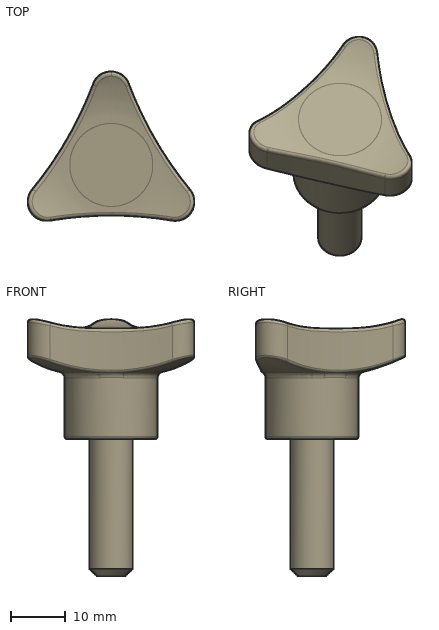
import cadquery as cq
import math


lobe_count = 3
first_lobe_angle = math.pi / 2
half_pitch = math.pi / lobe_count
lobe_center_radius = 13.5
lobe_radius = 3.5
side_gap = 9.28
tip_radius = lobe_center_radius + lobe_radius

disc_radius = 7.56
disc_height = 20.15
dish_radius = 23.0
underside_radius = 38.5
underside_low_point = 11.05
top_edge_fillet = 0.6
bottom_edge_fillet = 0.5

hub_diameter = 17.0
hub_edge_fillet = 0.5
hub_root_fillet = 1.0
hub_top_height = (underside_low_point + disc_height) / 2

stud_diameter = 8.0
stud_length = 25.0
stud_chamfer_height = 1.4
stud_chamfer_width = 1.5


def polar(radius, angle):
    return (radius * math.cos(angle), radius * math.sin(angle))


def arc_rise(arc_radius, run):
    """Height of an arc above its lowest point, at a horizontal distance from that point."""
    return arc_radius - math.sqrt(arc_radius**2 - run**2)


def dish_point(radius):
    """Point of the dished top at a distance from the axis, outside the flat disc."""
    return (radius, disc_height + arc_rise(dish_radius, radius - disc_radius))


def underside_point(radius):
    """Point of the spherical underside at a distance from the axis."""
    return (radius, underside_low_point + arc_rise(underside_radius, radius))


def lobe_tangent_angle():
    """Angle, off a lobe's own axis, where the lobe meets the side arc."""
    across = lobe_center_radius * math.sin(half_pitch)
    offset = side_gap - lobe_center_radius * math.cos(half_pitch)
    side_radius = (across**2 + offset**2 - lobe_radius**2) / (2 * (lobe_radius - offset))
    center_x, center_y = polar(side_radius + side_gap, half_pitch)
    return math.atan2(center_y, center_x - lobe_center_radius)


def lobe_end(lobe_angle, side):
    """End of a lobe's round stretch, on its clockwise (-1) or other (+1) side."""
    center_x, center_y = polar(lobe_center_radius, lobe_angle)
    reach_x, reach_y = polar(lobe_radius, lobe_angle + side * lobe_tangent_angle())
    return (center_x + reach_x, center_y + reach_y)


def lobed_outline():
    """Round lobes joined by concave arcs tangent to them."""
    outline = cq.Workplane("XY").moveTo(*lobe_end(first_lobe_angle, -1))
    for i in range(lobe_count):
        angle = first_lobe_angle + 2 * half_pitch * i
        side_angle = angle + half_pitch
        next_angle = side_angle + half_pitch
        outline = outline.threePointArc(polar(tip_radius, angle), lobe_end(angle, 1))
        outline = outline.threePointArc(polar(side_gap, side_angle), lobe_end(next_angle, -1))
    return outline.close()


def dished_blank():
    """Turned blank between the spherical underside and the dished top."""
    outer = tip_radius + lobe_radius
    return (
        cq.Workplane("YZ")
        .moveTo(*underside_point(0))
        .threePointArc(underside_point(outer / 2), underside_point(outer))
        .lineTo(*dish_point(outer))
        .threePointArc(dish_point((disc_radius + outer) / 2), dish_point(disc_radius))
        .lineTo(0, disc_height)
        .close()
        .revolve(360, (0, 0, 0), (0, 1, 0))
    )


def grip():
    """Lobed prism trimmed to the dished blank, with rounded rims."""
    prism = lobed_outline().extrude(2 * disc_height)
    body = prism.intersect(dished_blank())
    body = body.faces("%REVOLUTION").edges("%BSPLINE").fillet(top_edge_fillet)
    return body.faces("%SPHERE").edges("%BSPLINE").fillet(bottom_edge_fillet)


def hub():
    """Hub with a rounded lower edge, reaching up into the grip."""
    return (
        cq.Workplane("XY")
        .circle(hub_diameter / 2)
        .extrude(hub_top_height)
        .faces("<Z")
        .edges()
        .fillet(hub_edge_fillet)
    )


def grip_on_hub():
    """Grip joined to the hub, with a fillet where the hub meets the underside."""
    _, root_height = underside_point(hub_diameter / 2)
    zone_half_height = hub_root_fillet / 2
    root_zone = cq.selectors.BoxSelector(
        (-hub_diameter, -hub_diameter, root_height - zone_half_height),
        (hub_diameter, hub_diameter, root_height + zone_half_height),
    )
    body = grip().union(hub())
    return body.edges(root_zone).fillet(hub_root_fillet)


def stud():
    """Plain stud with a chamfered free end."""
    return (
        cq.Workplane("XY")
        .circle(stud_diameter / 2)
        .extrude(-stud_length)
        .faces("<Z")
        .edges()
        .chamfer(stud_chamfer_height, stud_chamfer_width)
    )


result = grip_on_hub().union(stud())